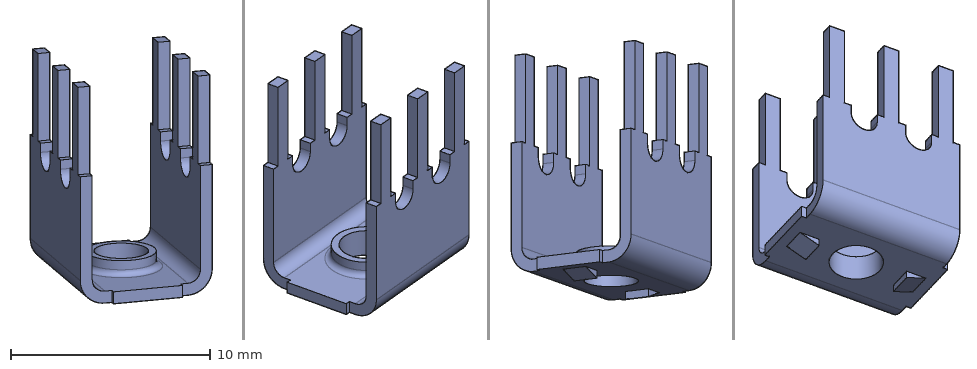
import cadquery as cq

overall_height = 11.71
overall_length = 8.51
channel_length = 7.97
channel_width = 6.99
thickness = 0.63
bend_radius = 1.3
barb_height = 0.4
shoulder_height = 6.73
pin_width = 0.87
pin_pitch = 3.17
slot_width = 1.51
slot_depth = 1.24
tab_width = 3.65
collar_diameter = 3.52
collar_height = 0.8
collar_fillet = 0.32
hole_diameter = 2.73
barb_width = 1.32
barb_inner_x = 2.55
barb_outer_x = 3.67

pin_top = overall_height - barb_height
slot_radius = slot_width / 2
slot_center_z = shoulder_height - slot_depth + slot_radius


def centered_box(length, width, bottom, top):
    """Box centered on the Z axis between two heights."""
    return (
        cq.Workplane("XY")
        .workplane(offset=bottom)
        .rect(length, width)
        .extrude(top - bottom)
    )


def rounded_block(width, radius, bottom, top):
    """Block along X with its two lower edges rounded."""
    return centered_box(channel_length, width, bottom, top).edges("|X and <Z").fillet(radius)


def make_channel():
    """U-shaped bent strip with walls up to the pin tips."""
    outside = rounded_block(channel_width, bend_radius, 0, pin_top)
    inside_width = channel_width - 2 * thickness
    inside = rounded_block(inside_width, bend_radius - thickness, thickness, pin_top)
    return outside.cut(inside)


def make_wall_outline():
    """Solid spanning both walls, holding their shouldered, slotted and pinned outline."""
    outline = centered_box(channel_length, channel_width, 0, shoulder_height)
    for slot_x in (-pin_pitch / 2, pin_pitch / 2):
        slot_top = centered_box(slot_width, channel_width, slot_center_z, shoulder_height)
        slot_bottom = (
            cq.Workplane("XZ")
            .center(0, slot_center_z)
            .circle(slot_radius)
            .extrude(channel_width / 2, both=True)
        )
        outline = outline.cut(slot_top.union(slot_bottom).translate((slot_x, 0, 0)))
    for pin_x in (-pin_pitch, 0, pin_pitch):
        pin = centered_box(pin_width, channel_width, shoulder_height, pin_top)
        outline = outline.union(pin.translate((pin_x, 0, 0)))
    return outline


def make_collar():
    """Raised ring around the hole, flared into the floor by a concave fillet."""
    radius = collar_diameter / 2
    flare_top = thickness + collar_fillet
    fillet_center = (radius + collar_fillet, flare_top)
    arc_offset = collar_fillet * 0.5 ** 0.5
    return (
        cq.Workplane("XZ")
        .lineTo(radius + collar_fillet, 0)
        .lineTo(radius + collar_fillet, thickness)
        .threePointArc(
            (fillet_center[0] - arc_offset, fillet_center[1] - arc_offset),
            (radius, flare_top),
        )
        .lineTo(radius, thickness + collar_height)
        .lineTo(0, thickness + collar_height)
        .close()
        .revolve(360, (0, 0, 0), (0, 1, 0))
    )


def make_barb(side):
    """Sloped barb under the floor; side is -1 or 1 along X."""
    return (
        cq.Workplane("XZ")
        .moveTo(side * barb_inner_x, 0)
        .lineTo(side * barb_inner_x, -barb_height)
        .lineTo(side * barb_outer_x, 0)
        .close()
        .extrude(barb_width / 2, both=True)
    )


result = make_channel().intersect(make_wall_outline())
result = result.union(centered_box(overall_length, tab_width, 0, thickness))
result = result.union(make_collar())
for barb_side in (-1, 1):
    result = result.union(make_barb(barb_side))
hole = cq.Workplane("XY").circle(hole_diameter / 2).extrude(thickness + collar_height)
result = result.cut(hole)